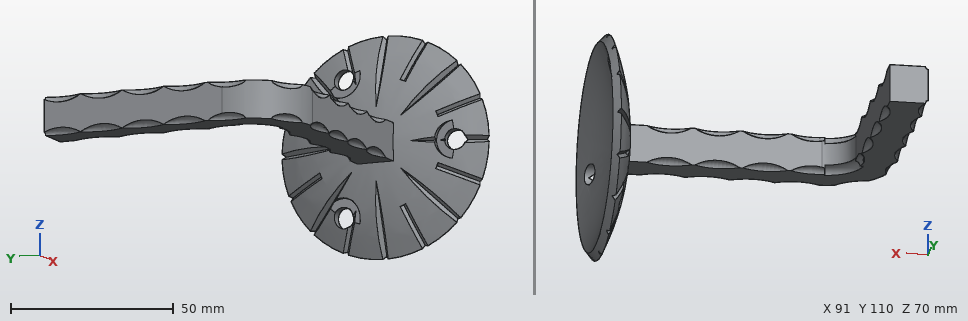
import cadquery as cq
import math

BAR_SIZE = 12.0
ARM_LENGTH = 60.0
BEND_INNER_RADIUS = 9.0
BEND_OUTER_RADIUS = BEND_INNER_RADIUS + BAR_SIZE
BEND_MEAN_RADIUS = BEND_INNER_RADIUS + BAR_SIZE / 2
BEND_LENGTH = BEND_MEAN_RADIUS * math.pi / 2
BAR_HALF = BAR_SIZE / 2
BEND_X = BEND_OUTER_RADIUS
BEND_Y = BEND_MEAN_RADIUS

SCALLOP_LENGTH = 14.0
SCALLOP_DEPTH = 2.0
OUTER_PITCH = SCALLOP_LENGTH
FIRST_SCALLOP = 12.3
OUTER_COUNT = 10
INNER_PITCH = 15.0
INNER_COUNT_PER_ARM = 4
BEND_SCALLOP_DEPTH = 2.5
BEND_SCALLOP_ANGLE = 78.0

PLATE_RADIUS = 35.0
PLATE_HEIGHT = 10.0
PLATE_THICKNESS = 3.0
DOME_RISE = 7.8
APEX_X = BEND_X + ARM_LENGTH
BACK_X = APEX_X + PLATE_HEIGHT
DOME_RADIUS = (PLATE_RADIUS**2 + DOME_RISE**2) / (2 * DOME_RISE)
DOME_CENTER_X = APEX_X + DOME_RADIUS
HOLLOW_RADIUS = DOME_RADIUS - PLATE_THICKNESS
BAR_OVERLAP = 1.0

HOLE_COUNT = 3
HOLE_CIRCLE_RADIUS = 25.0
HOLE_DIAMETER = 6.5
SPOTFACE_DIAMETER = 12.0

GROOVE_COUNT = 8
GROOVE_STEP = 360.0 / GROOVE_COUNT
SHORT_GROOVE_DEPTH = 1.0
SHORT_GROOVE_START = 21.2
LONG_GROOVE_START = 11.7
LONG_GROOVE_RIM_DEPTH = 1.3
SHORT_GROOVE_SLOPE = 1.0
LONG_GROOVE_SLOPE = 0.75
V_HEIGHT = 4.0
RIM_OVERRUN_ANGLE = 3.0


def dome_x(radius):
    """X of the dome surface at a distance from the plate axis."""
    return DOME_CENTER_X - math.sqrt(DOME_RADIUS**2 - radius**2)


def make_bar():
    path = (
        cq.Workplane("XY")
        .moveTo(APEX_X + BAR_OVERLAP, 0)
        .lineTo(BEND_X, 0)
        .radiusArc((BAR_HALF, BEND_Y), BEND_MEAN_RADIUS)
        .lineTo(BAR_HALF, BEND_Y + ARM_LENGTH)
    )
    section = cq.Workplane("YZ", origin=(APEX_X + BAR_OVERLAP, 0, 0)).rect(BAR_SIZE, BAR_SIZE)
    return section.sweep(path)


def scallop_cutter(distance, offset, z):
    """Lens on a bar edge, at a distance along the bar from the plate.

    The offset is the distance of the edge from the bar's center line, toward the outside of the bend.
    """
    lens = (
        cq.Workplane("XY")
        .moveTo(-SCALLOP_LENGTH / 2, 0)
        .threePointArc((0, SCALLOP_DEPTH), (SCALLOP_LENGTH / 2, 0))
        .close()
        .revolve(360, (0, 0, 0), (1, 0, 0))
    )
    past_bend_start = distance - ARM_LENGTH
    distance_in_bend = min(max(past_bend_start, 0), BEND_LENGTH)
    distance_in_arm = past_bend_start - distance_in_bend
    angle = -math.degrees(distance_in_bend / BEND_MEAN_RADIUS)
    lens = lens.translate((BEND_X - distance_in_arm, -offset, z))
    return lens.rotate((BEND_X, BEND_Y, 0), (BEND_X, BEND_Y, 1), angle)


def scallop_cutters():
    bar_length = 2 * ARM_LENGTH + BEND_LENGTH
    outer = [FIRST_SCALLOP + i * OUTER_PITCH for i in range(OUTER_COUNT)]
    near_arm = [FIRST_SCALLOP + i * INNER_PITCH for i in range(INNER_COUNT_PER_ARM)]
    inner = near_arm + [bar_length - distance for distance in near_arm]
    cutters = []
    for z in (-BAR_HALF, BAR_HALF):
        cutters += [scallop_cutter(distance, BAR_HALF, z) for distance in outer]
        cutters += [scallop_cutter(distance, -BAR_HALF, z) for distance in inner]
    return cutters


def bend_scallop_cutters():
    first_angle = 180 + (90 - BEND_SCALLOP_ANGLE) / 2
    ring = (
        cq.Workplane("XZ")
        .center(BEND_INNER_RADIUS, 0)
        .circle(BEND_SCALLOP_DEPTH)
        .revolve(BEND_SCALLOP_ANGLE, (-BEND_INNER_RADIUS, 0), (-BEND_INNER_RADIUS, 1))
        .rotate((0, 0, 0), (0, 0, 1), first_angle)
    )
    return [ring.translate((BEND_X, BEND_Y, z)) for z in (-BAR_HALF, BAR_HALF)]


def make_plate():
    hollow_apex_x = APEX_X + PLATE_THICKNESS
    hollow_rim = math.sqrt(HOLLOW_RADIUS**2 - (DOME_CENTER_X - BACK_X) ** 2)
    half_angle = math.asin(PLATE_RADIUS / DOME_RADIUS) / 2
    half_sin = math.sin(half_angle)
    half_cos = math.cos(half_angle)
    outer_middle = (DOME_CENTER_X - DOME_RADIUS * half_cos, -DOME_RADIUS * half_sin)
    inner_middle = (DOME_CENTER_X - HOLLOW_RADIUS * half_cos, -HOLLOW_RADIUS * half_sin)
    return (
        cq.Workplane("XY")
        .moveTo(APEX_X, 0)
        .threePointArc(outer_middle, (dome_x(PLATE_RADIUS), -PLATE_RADIUS))
        .lineTo(BACK_X, -hollow_rim)
        .threePointArc(inner_middle, (hollow_apex_x, 0))
        .close()
        .revolve(360, (0, 0, 0), (1, 0, 0))
    )


def around_plate(shape, angle):
    return shape.rotate((0, 0, 0), (1, 0, 0), angle)


def short_groove_cutter():
    """V ring about the dome center: a groove of constant depth with a square inner end, on the -Y side."""
    bottom_radius = DOME_RADIUS - SHORT_GROOVE_DEPTH
    top_radius = bottom_radius + V_HEIGHT
    half_width = V_HEIGHT * SHORT_GROOVE_SLOPE
    start_angle = math.degrees(math.asin(SHORT_GROOVE_START / DOME_RADIUS))
    rim_angle = math.degrees(math.asin(PLATE_RADIUS / DOME_RADIUS))
    return (
        cq.Workplane("XZ")
        .polyline([(-bottom_radius, 0), (-top_radius, half_width), (-top_radius, -half_width)])
        .close()
        .revolve(rim_angle + RIM_OVERRUN_ANGLE - start_angle, (0, 0, 0), (0, 1, 0))
        .rotate((0, 0, 0), (0, 0, 1), start_angle)
        .translate((DOME_CENTER_X, 0, 0))
    )


def long_groove_cutter():
    """V prism on the -Y side whose straight bottom line enters the dome surface at the inner end."""
    start_x = dome_x(LONG_GROOVE_START)
    rise = dome_x(PLATE_RADIUS) + LONG_GROOVE_RIM_DEPTH - start_x
    run = PLATE_RADIUS - LONG_GROOVE_START
    direction = (rise, -run, 0)
    half_width = V_HEIGHT * LONG_GROOVE_SLOPE
    section_plane = cq.Plane(origin=(start_x, -LONG_GROOVE_START, 0), xDir=(0, 0, 1), normal=direction)
    return (
        cq.Workplane(section_plane)
        .polyline([(0, 0), (half_width, V_HEIGHT), (-half_width, V_HEIGHT)])
        .close()
        .extrude(2 * run)
    )


def groove_cutters():
    long_groove = long_groove_cutter()
    short_groove = short_groove_cutter()
    cutters = []
    for i in range(GROOVE_COUNT):
        cutters.append(around_plate(long_groove, i * GROOVE_STEP))
        cutters.append(around_plate(short_groove, (i + 0.5) * GROOVE_STEP))
    return cutters


def hole_cutters():
    """Through hole with a flat spotface level with the dome at the hole center."""
    floor_depth = dome_x(HOLE_CIRCLE_RADIUS) - APEX_X
    start = cq.Workplane("YZ", origin=(APEX_X, -HOLE_CIRCLE_RADIUS, 0))
    hole = start.circle(HOLE_DIAMETER / 2).extrude(PLATE_HEIGHT)
    spotface = start.circle(SPOTFACE_DIAMETER / 2).extrude(floor_depth)
    angles = [i * 360.0 / HOLE_COUNT for i in range(HOLE_COUNT)]
    return [around_plate(cutter, angle) for angle in angles for cutter in (hole, spotface)]


def cut_all(body, cutters):
    return cq.Workplane(body.val().cut(*[cutter.val() for cutter in cutters]))


bar = cut_all(make_bar(), scallop_cutters() + bend_scallop_cutters())
plate = cut_all(make_plate(), groove_cutters() + hole_cutters())
result = bar.union(plate)